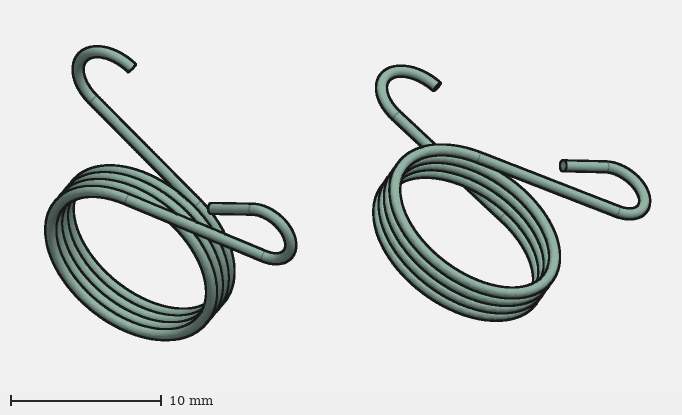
import cadquery as cq
import math

total_depth = 3.72
coil_outer_diameter = 12.95
coil_inner_diameter = 11.45
full_turns = 3
rear_leg_slope = 35.5
rear_leg_length = 9.9
rear_hook_radius = 2.67
rear_hook_overrun = 34.5
front_leg_length = 10.5
front_hook_radius = 2.06
front_tail_slope = 25.5
front_tail_length = 3.52

wire_diameter = (coil_outer_diameter - coil_inner_diameter) / 2
wire_radius = wire_diameter / 2
coil_radius = (coil_outer_diameter - wire_diameter) / 2
coil_length = total_depth - wire_diameter
turns = full_turns + (360 - rear_leg_slope) / 360
pitch = coil_length / turns


def polar(center, radius, degrees):
    """Point on a circle in the XZ plane, angle measured from +X toward +Z."""
    angle = math.radians(degrees)
    return (center[0] + radius * math.cos(angle), center[1] + radius * math.sin(angle))


def make_coil():
    """Left-handed coil, starting at its top and advancing along +Y."""
    helix = cq.Wire.makeHelix(pitch, coil_length, coil_radius, lefthand=True)
    section = cq.Workplane("XZ").center(coil_radius, 0).circle(wire_radius)
    coil = section.sweep(cq.Workplane(obj=helix), isFrenet=True)
    return coil.rotate((0, 0, 0), (1, 1, 1), -120)


def sweep_leg(path, start, direction_degrees, y):
    """Sweep the wire along an XZ path, then place it at depth y."""
    direction = polar((0, 0), 1, direction_degrees)
    section_plane = cq.Plane(
        origin=(start[0], 0, start[1]),
        xDir=(0, 1, 0),
        normal=(direction[0], 0, direction[1]),
    )
    leg = cq.Workplane(section_plane).circle(wire_radius).sweep(path)
    return leg.translate((0, y, 0))


def make_front_leg():
    """Horizontal leg bent back over itself, with a straight sloping tail."""
    start = (0, coil_radius)
    bend_start = (front_leg_length, coil_radius)
    center = (front_leg_length, coil_radius + front_hook_radius)
    bend_end_angle = 90 + front_tail_slope
    bend_middle = polar(center, front_hook_radius, (bend_end_angle - 90) / 2)
    bend_end = polar(center, front_hook_radius, bend_end_angle)
    tail_end = polar(bend_end, front_tail_length, 180 + front_tail_slope)
    path = (
        cq.Workplane("XZ")
        .moveTo(*start)
        .lineTo(*bend_start)
        .threePointArc(bend_middle, bend_end)
        .lineTo(*tail_end)
    )
    return sweep_leg(path, start, 0, 0)


def make_rear_leg():
    """Leg leaving the coil tangentially up and left, ending in an open hook."""
    leg_direction = 180 - rear_leg_slope
    start = polar((0, 0), coil_radius, leg_direction - 90)
    hook_start = polar(start, rear_leg_length, leg_direction)
    hook_start_angle = leg_direction + 90
    hook_end_angle = 90 - rear_hook_overrun
    center = polar(hook_start, rear_hook_radius, leg_direction - 90)
    hook_middle = polar(center, rear_hook_radius, (hook_start_angle + hook_end_angle) / 2)
    hook_end = polar(center, rear_hook_radius, hook_end_angle)
    path = (
        cq.Workplane("XZ")
        .moveTo(*start)
        .lineTo(*hook_start)
        .threePointArc(hook_middle, hook_end)
    )
    return sweep_leg(path, start, leg_direction, coil_length)


result = make_coil().union(make_front_leg()).union(make_rear_leg())